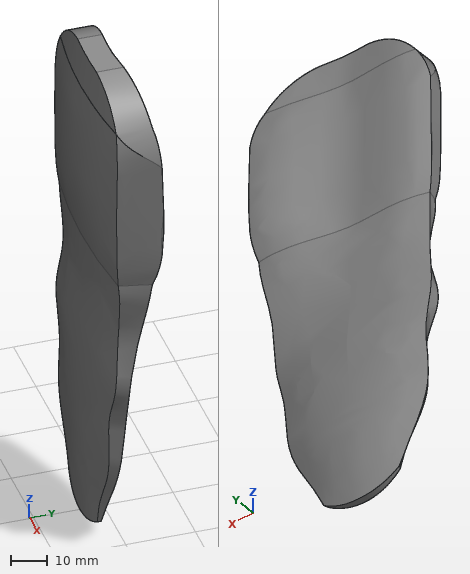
import cadquery as cq

length = 150.0
tip_corner_z = 4.5
tip_half_width = 13.5
waist_z = 90.3
shoulder_z = 140.0
shoulder_half_width = 24.9
crown_start_z = 129.2
head_half_width = 29.1
side_start_z = 30.0
crown_flat_half_width = 8.4
trim_size = 60.0

blade_sections = [
    (0.0, -11.0, -10.8, 10.5, 10.6, 1.5, 2.4, 2.8, 3.5, 3.7, 3.5, 2.8),
    (tip_corner_z, -13.6, -13.2, 12.5, 13.2, 1.2, 2.5, 3.5, 4.5, 5.0, 4.5, 3.5),
    (12.5, -18.1, -16.2, 14.8, 17.0, 1.0, 2.5, 4.0, 6.1, 6.9, 6.1, 4.0),
    (24.1, -24.1, -22.2, 20.8, 22.6, 0.9, 2.7, 5.0, 7.8, 8.7, 7.8, 5.0),
    (39.0, -25.8, -22.5, 21.5, 24.0, 0.9, 2.8, 6.6, 9.1, 9.9, 9.1, 6.6),
    (50.2, -26.4, -25.5, 24.1, 25.8, 1.0, 3.1, 7.0, 9.3, 9.9, 9.3, 7.0),
    (60.1, -27.7, -27.1, 25.8, 26.7, 1.6, 3.7, 7.0, 9.0, 9.3, 9.0, 7.8),
    (70.8, -27.1, -25.2, 24.1, 26.1, 2.4, 4.6, 6.7, 9.0, 9.1, 10.0, 9.9),
    (80.2, -27.3, -26.2, 25.2, 27.1, 2.7, 4.8, 7.0, 9.3, 9.5, 11.2, 11.7),
]
waist_section = (waist_z, -27.9, -26.8, 25.8, 27.9, 2.2, 4.2, 7.8, 9.9, 9.9, 12.7, 13.3)
head_sections = [
    (100.2, -head_half_width, -28.0, 26.8, head_half_width, 0.9, 3.5, 8.5, 10.8, 10.3, 14.4, 15.7),
    (114.9, -head_half_width, -28.0, 27.1, head_half_width, 0.0, 3.3, 8.8, 11.2, 10.5, 14.5, 16.2),
    (crown_start_z, -head_half_width, -28.0, 27.3, head_half_width, 0.6, 3.5, 9.0, 11.2, 10.5, 14.1, 15.7),
    (shoulder_z, -head_half_width, -shoulder_half_width, shoulder_half_width, head_half_width,
     1.8, 3.9, 9.3, 11.1, 10.5, 12.9, 14.4),
]
crown_sections = [
    (shoulder_z, -head_half_width, -head_half_width, head_half_width, head_half_width,
     1.8, 4.6, 9.3, 11.1, 10.5, 12.9, 14.4),
    (length, -head_half_width, -head_half_width, head_half_width, head_half_width,
     3.3, 6.1, 9.3, 11.0, 10.5, 12.3, 13.2),
]


def section_wire(section):
    """Closed cross-section: front arc, two slanted sides and a wavy back."""
    z, back_left, front_left, front_right, back_right, front_mid_y, front_side_y, *back_y = section
    front_middle = cq.Vector((front_left + front_right) / 2, front_mid_y, z)
    front_start = cq.Vector(front_left, front_side_y, z)
    front_end = cq.Vector(front_right, front_side_y, z)
    step = (back_right - back_left) / (len(back_y) - 1)
    back_points = [cq.Vector(back_left + i * step, y, z) for i, y in enumerate(back_y)]
    back_points.reverse()
    return cq.Wire.assembleEdges([
        cq.Edge.makeThreePointArc(front_start, front_middle, front_end),
        cq.Edge.makeLine(front_end, back_points[0]),
        cq.Edge.makeSpline(back_points),
        cq.Edge.makeLine(back_points[-1], front_start),
    ])


def loft(sections):
    return cq.Workplane(cq.Solid.makeLoft([section_wire(section) for section in sections]))


def outline_prism():
    """Rounded crown and tip, extruded through the thickness; clear of the blade's sides."""
    crown_mid = (shoulder_half_width, shoulder_z)
    return (
        cq.Workplane("XZ", origin=(0, trim_size / 2, 0))
        .moveTo(-tip_half_width, tip_corner_z)
        .threePointArc((0, 0), (tip_half_width, tip_corner_z))
        .lineTo(head_half_width, side_start_z)
        .lineTo(head_half_width, crown_start_z)
        .threePointArc(crown_mid, (crown_flat_half_width, length))
        .lineTo(-crown_flat_half_width, length)
        .threePointArc((-crown_mid[0], crown_mid[1]), (-head_half_width, crown_start_z))
        .lineTo(-head_half_width, side_start_z)
        .close()
        .extrude(trim_size)
    )


def below_waist():
    """Block that keeps everything under the waist crease."""
    return cq.Workplane().box(trim_size, trim_size, waist_z * 2)


blade = loft(blade_sections + [waist_section] + head_sections[:1]).intersect(below_waist())
head = loft([waist_section] + head_sections)
crown = loft(crown_sections)
result = blade.union(head).union(crown).intersect(outline_prism())